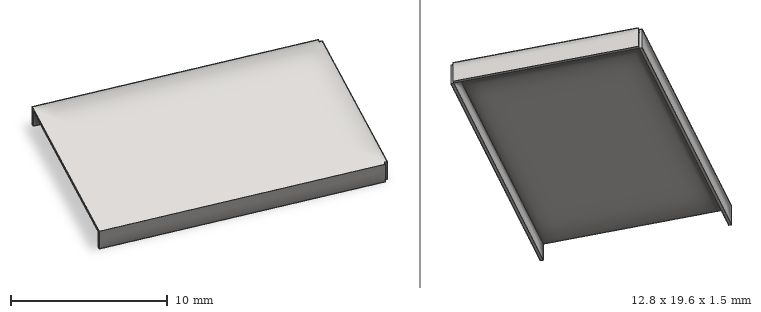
import cadquery as cq

width = 12.8
length = 19.6
height = 1.5
sheet = 0.2

half_width = width / 2
half_length = length / 2


def make_channel():
    """Cover body: top sheet with side walls and a back wall, open below and in front."""
    body = cq.Workplane("XY").box(width, length, height, centered=(True, True, False))
    cavity = (
        cq.Workplane("XY")
        .box(width - 2 * sheet, length - sheet, height - sheet, centered=(True, True, False))
        .translate((0, -sheet / 2, 0))
    )
    return body.cut(cavity)


def cut_corner_relief(body, side):
    """Remove the full-height square at one back corner, where the folded walls meet."""
    relief = (
        cq.Workplane("XY")
        .center(side * (half_width - sheet / 2), half_length - sheet / 2)
        .rect(sheet, sheet)
        .extrude(height)
    )
    return body.cut(relief)


result = make_channel()
for side in (-1, 1):
    result = cut_corner_relief(result, side)